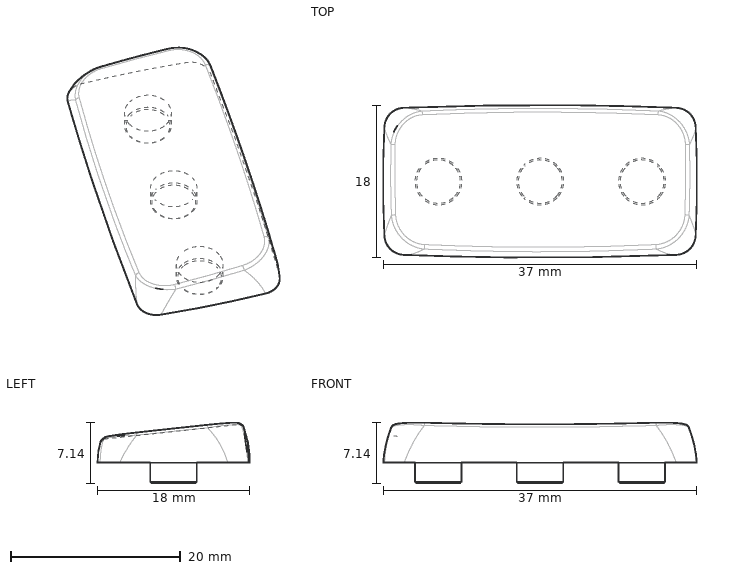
import cadquery as cq
import math

length = 37.03
width = 18.0
long_side_radius = 407.33
short_side_radius = 129.6
base_corner_radius = 2.4

middle_half_length = 18.15
middle_half_width = 8.78
middle_shift = 0.05
middle_height = 2.22
middle_corner_radius = 3.35
top_half_length = 17.3
top_half_width = 8.05
top_shift = 0.22
top_height = 4.45
top_corner_radius = 4.45

top_slope = 6.2
dish_radius = 425.85
dish_bottom_height = 3.7
rim_fillet = 0.5

pin_diameter = 5.5
pin_height = 2.4
pin_spacing = 12.0
pin_chamfer = 0.2


def sloped_plane(shift, height, slope):
    """Plane centred at (0, shift, height) that rises towards -Y by the slope angle."""
    lean = math.radians(slope)
    normal = (0, math.sin(lean), math.cos(lean))
    return cq.Plane(origin=(0, shift, height), xDir=(1, 0, 0), normal=normal)


def bulged_outline(plane, half_length, half_width, corner_radius):
    """Closed rectangle with bowed sides and tangent corner arcs."""
    long_centre_y = half_width - long_side_radius
    short_centre_x = half_length - short_side_radius
    long_reach = long_side_radius - corner_radius
    short_reach = short_side_radius - corner_radius
    span = math.hypot(short_centre_x, long_centre_y)
    along = (long_reach**2 - short_reach**2 + span**2) / (2 * span)
    across = math.sqrt(long_reach**2 - along**2)
    unit_x = short_centre_x / span
    unit_y = -long_centre_y / span
    corner_x = along * unit_x + across * unit_y
    corner_y = long_centre_y + along * unit_y - across * unit_x

    long_angle = math.atan2(corner_y - long_centre_y, corner_x)
    short_angle = math.atan2(corner_y, corner_x - short_centre_x)

    def corner_point(angle):
        return (
            corner_x + corner_radius * math.cos(angle),
            corner_y + corner_radius * math.sin(angle),
        )

    long_x, long_y = corner_point(long_angle)
    middle_x, middle_y = corner_point((long_angle + short_angle) / 2)
    short_x, short_y = corner_point(short_angle)
    return (
        cq.Workplane(plane)
        .moveTo(-long_x, long_y)
        .threePointArc((0, half_width), (long_x, long_y))
        .threePointArc((middle_x, middle_y), (short_x, short_y))
        .threePointArc((half_length, 0), (short_x, -short_y))
        .threePointArc((middle_x, -middle_y), (long_x, -long_y))
        .threePointArc((0, -half_width), (-long_x, -long_y))
        .threePointArc((-middle_x, -middle_y), (-short_x, -short_y))
        .threePointArc((-half_length, 0), (-short_x, short_y))
        .threePointArc((-middle_x, middle_y), (-long_x, long_y))
        .close()
        .val()
    )


def make_walls():
    """Solid with convex walls that draw in from the base to the sloped top section."""
    base = bulged_outline(cq.Plane.XY(), length / 2, width / 2, base_corner_radius)
    middle = bulged_outline(
        sloped_plane(middle_shift, middle_height, top_slope / 2),
        middle_half_length,
        middle_half_width,
        middle_corner_radius,
    )
    top = bulged_outline(
        sloped_plane(top_shift, top_height, top_slope),
        top_half_length,
        top_half_width,
        top_corner_radius,
    )
    return cq.Workplane(cq.Solid.makeLoft([base, middle, top]))


def make_dish():
    """Cylinder, reaching well past the cap at both ends, that scoops the top face."""
    lean = math.radians(top_slope)
    axis = cq.Vector(0, math.cos(lean), -math.sin(lean))
    bottom = cq.Vector(0, 0, dish_bottom_height)
    centre = bottom + cq.Vector(0, math.sin(lean), math.cos(lean)) * dish_radius
    return cq.Workplane(cq.Solid.makeCylinder(dish_radius, 2 * width, centre - axis * width, axis))


def make_pin(x):
    pin = cq.Workplane("XY").center(x, 0).circle(pin_diameter / 2).extrude(-pin_height)
    return pin.faces("<Z").chamfer(pin_chamfer)


cap = make_walls().cut(make_dish())
cap = cap.faces(">Z").edges().fillet(rim_fillet)

result = cap
for pin_x in (-pin_spacing, 0, pin_spacing):
    result = result.union(make_pin(pin_x))